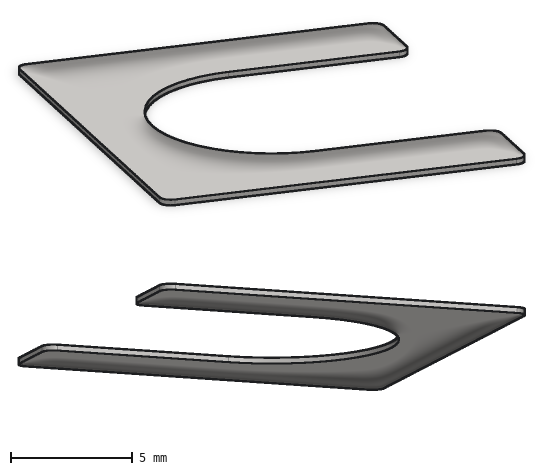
import cadquery as cq

width = 18.0
depth = 16.0
thickness = 0.25
corner_radius = 0.5

slot_width = 10.5
slot_floor_wall = 2.75

slot_radius = slot_width / 2
arc_center_y = -depth / 2 + slot_floor_wall + slot_radius
slot_straight = depth / 2 - arc_center_y

plate = cq.Workplane("XY").rect(width, depth).extrude(thickness)

slot = (
    cq.Workplane("XY")
    .moveTo(-slot_radius, arc_center_y + slot_straight)
    .lineTo(-slot_radius, arc_center_y)
    .threePointArc((0, arc_center_y - slot_radius), (slot_radius, arc_center_y))
    .lineTo(slot_radius, arc_center_y + slot_straight)
    .close()
    .extrude(thickness)
)

tip_and_base_edges = "|Z and (>Y or <Y)"
result = plate.cut(slot).edges(tip_and_base_edges).fillet(corner_radius)